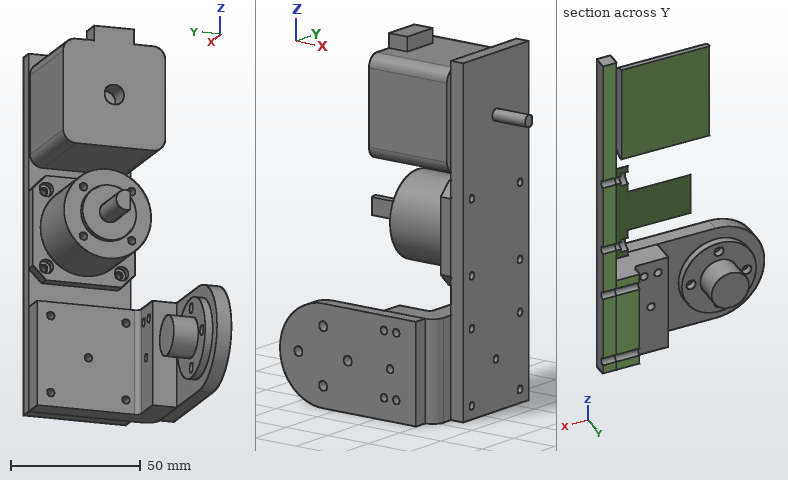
import cadquery as cq


WIDTH = 42.0
PLATE_THICKNESS = 6.0
PLATE_HEIGHT = 144.0
BOLT_SPACING = 31.0
BOLT_DIAMETER = 3.0

MOTOR_Z = 118.9
MOTOR_Y = 0.1
MOTOR_SIDE = 42.0
MOTOR_LENGTH = 38.0
MOTOR_CORNER_RADIUS = 5.1
PILOT_DIAMETER = 22.0
PILOT_HEIGHT = 2.0
MOTOR_SHAFT_DIAMETER = 5.0
MOTOR_SHAFT_STICKOUT = 15.9
MOTOR_SHAFT_FLAT = 2.0
REAR_HOLE_DIAMETER = 8.0
REAR_HOLE_DEPTH = 10.0
CONNECTOR_LENGTH = 9.0
CONNECTOR_WIDTH = 16.3
CONNECTOR_TOP = 145.9

GEARBOX_Z = 73.1
FLANGE_THICKNESS = 5.0
FLANGE_CHAMFER = 5.4
COUNTERBORE_DIAMETER = 5.5
COUNTERBORE_DEPTH = 3.0
BODY_DIAMETER = 35.9
BODY_LENGTH = 27.0
FACE_HOLE_DIAMETER = 3.0
FACE_HOLE_DEPTH = 7.0
FACE_HOLE_CIRCLE = 28.0
OUTPUT_SHAFT_DIAMETER = 8.0
OUTPUT_SHAFT_LENGTH = 19.0
OUTPUT_FLAT_LENGTH = 15.0
OUTPUT_SHAFT_FLAT = 1.8

BRACKET_THICKNESS = 9.9
BRACKET_LEG = 25.0
BRACKET_OUTER_RADIUS = 5.0
BRACKET_INNER_RADIUS = 2.0

HUB_X = -50.0
HUB_HOLE_RADIUS = 12.0
HUB_HOLE_DIAMETER = 4.0
HUB_FLANGE_DIAMETER = 32.0
HUB_FLANGE_THICKNESS = 3.0
HUB_BOSS_DIAMETER = 16.0
HUB_BOSS_LENGTH = 10.0
SCREW_X = -17.5
SCREW_PITCH = 6.0
SCREW_DIAMETER = 3.2
UPPER_SCREW_RISE = 15.0
LOWER_SCREW_DROP = 12.0

HALF_WIDTH = WIDTH / 2
ARM_Z = HALF_WIDTH
BRACKET_OUTER_Y = -HALF_WIDTH - BRACKET_THICKNESS
MOTOR_FRONT_X = -PILOT_HEIGHT
MOTOR_REAR_X = MOTOR_FRONT_X - MOTOR_LENGTH
BODY_FACE_X = -FLANGE_THICKNESS - BODY_LENGTH
ARM_END_X = -BRACKET_OUTER_RADIUS


def box(x_range, y_range, z_range):
    """Box between the given limits along each axis."""
    lows, highs = zip(x_range, y_range, z_range)
    sizes = [high - low for low, high in zip(lows, highs)]
    return cq.Workplane("XY").box(*sizes, centered=False).translate(lows)


def x_rod(diameter, x_start, x_end, z, y=0):
    """Cylinder along X."""
    return cq.Workplane("YZ", origin=(x_start, y, z)).circle(diameter / 2).extrude(x_end - x_start)


def y_rod(diameter, y_start, y_end, x, z):
    """Cylinder along Y."""
    return cq.Workplane("XZ", origin=(x, y_start, z)).circle(diameter / 2).extrude(y_start - y_end)


def square_bolts(diameter, x_start, x_end, z):
    """Four rods along X on the square bolt pattern centred at height z."""
    return (
        cq.Workplane("YZ", origin=(x_start, 0, z))
        .rect(BOLT_SPACING, BOLT_SPACING, forConstruction=True)
        .vertices()
        .circle(diameter / 2)
        .extrude(x_end - x_start)
    )


def bracket_bolts():
    """Bolt holes through the bracket's back leg and the plate: the square pattern and its centre."""
    corners = square_bolts(BOLT_DIAMETER, -BRACKET_THICKNESS, PLATE_THICKNESS, ARM_Z)
    return corners.union(x_rod(BOLT_DIAMETER, -BRACKET_THICKNESS, PLATE_THICKNESS, ARM_Z))


def arm_screws(include_lower):
    """Screw holes along Y that join the arm to the bracket's side leg."""
    places = [(SCREW_X, ARM_Z)]
    for side in (-1, 1):
        x = SCREW_X + side * SCREW_PITCH / 2
        places.append((x, ARM_Z + UPPER_SCREW_RISE))
        if include_lower:
            places.append((x, ARM_Z - LOWER_SCREW_DROP))
    return (
        cq.Workplane("XZ", origin=(0, -HALF_WIDTH, 0))
        .pushPoints(places)
        .circle(SCREW_DIAMETER / 2)
        .extrude(BRACKET_THICKNESS + PLATE_THICKNESS)
    )


def hub_bolts():
    """Four rods along Y through the arm and the hub flange."""
    return (
        cq.Workplane("XZ", origin=(HUB_X, BRACKET_OUTER_Y + HUB_FLANGE_THICKNESS, ARM_Z))
        .polarArray(HUB_HOLE_RADIUS, 0, 360, 4)
        .circle(HUB_HOLE_DIAMETER / 2)
        .extrude(HUB_FLANGE_THICKNESS + PLATE_THICKNESS)
    )


def make_mounting_plate():
    plate = box((0, PLATE_THICKNESS), (-HALF_WIDTH, HALF_WIDTH), (0, PLATE_HEIGHT))
    plate = plate.cut(x_rod(MOTOR_SHAFT_DIAMETER, 0, PLATE_THICKNESS, MOTOR_Z, MOTOR_Y))
    plate = plate.cut(square_bolts(BOLT_DIAMETER, 0, PLATE_THICKNESS, GEARBOX_Z))
    return plate.cut(bracket_bolts())


def make_motor():
    housing = (
        cq.Workplane("YZ", origin=(MOTOR_REAR_X, MOTOR_Y, MOTOR_Z))
        .rect(MOTOR_SIDE, MOTOR_SIDE)
        .extrude(MOTOR_LENGTH)
        .edges("|X")
        .fillet(MOTOR_CORNER_RADIUS)
    )
    connector = box(
        (MOTOR_REAR_X, MOTOR_REAR_X + CONNECTOR_LENGTH),
        (MOTOR_Y - CONNECTOR_WIDTH / 2, MOTOR_Y + CONNECTOR_WIDTH / 2),
        (MOTOR_Z, CONNECTOR_TOP),
    )
    pilot = x_rod(PILOT_DIAMETER, MOTOR_FRONT_X, 0, MOTOR_Z, MOTOR_Y)
    shaft_end_x = PLATE_THICKNESS + MOTOR_SHAFT_STICKOUT
    shaft = x_rod(MOTOR_SHAFT_DIAMETER, MOTOR_FRONT_X, shaft_end_x, MOTOR_Z, MOTOR_Y)
    shaft_radius = MOTOR_SHAFT_DIAMETER / 2
    flat = box(
        (PLATE_THICKNESS, shaft_end_x),
        (MOTOR_Y + MOTOR_SHAFT_FLAT, MOTOR_Y + shaft_radius),
        (MOTOR_Z - shaft_radius, MOTOR_Z + shaft_radius),
    )
    rear_hole_end_x = MOTOR_REAR_X + REAR_HOLE_DEPTH
    rear_hole = x_rod(REAR_HOLE_DIAMETER, MOTOR_REAR_X, rear_hole_end_x, MOTOR_Z, MOTOR_Y)
    return housing.union(connector).cut(rear_hole).union(pilot).union(shaft.cut(flat))


def make_gearbox():
    flange = (
        cq.Workplane("YZ", origin=(-FLANGE_THICKNESS, 0, GEARBOX_Z))
        .rect(WIDTH, WIDTH)
        .extrude(FLANGE_THICKNESS)
        .edges("|X")
        .chamfer(FLANGE_CHAMFER)
    )
    counterbore_floor_x = COUNTERBORE_DEPTH - FLANGE_THICKNESS
    flange = flange.cut(square_bolts(BOLT_DIAMETER, -FLANGE_THICKNESS, 0, GEARBOX_Z))
    flange = flange.cut(
        square_bolts(COUNTERBORE_DIAMETER, -FLANGE_THICKNESS, counterbore_floor_x, GEARBOX_Z)
    )
    body = x_rod(BODY_DIAMETER, BODY_FACE_X, -FLANGE_THICKNESS, GEARBOX_Z)
    face_holes = (
        cq.Workplane("YZ", origin=(BODY_FACE_X, 0, GEARBOX_Z))
        .polarArray(FACE_HOLE_CIRCLE / 2, 45, 360, 4)
        .circle(FACE_HOLE_DIAMETER / 2)
        .extrude(FACE_HOLE_DEPTH)
    )
    pilot_face_x = BODY_FACE_X - PILOT_HEIGHT
    pilot = x_rod(PILOT_DIAMETER, pilot_face_x, BODY_FACE_X, GEARBOX_Z)
    shaft_tip_x = pilot_face_x - OUTPUT_SHAFT_LENGTH
    shaft_radius = OUTPUT_SHAFT_DIAMETER / 2
    shaft = x_rod(OUTPUT_SHAFT_DIAMETER, shaft_tip_x, pilot_face_x, GEARBOX_Z)
    flat = box(
        (shaft_tip_x, shaft_tip_x + OUTPUT_FLAT_LENGTH),
        (-shaft_radius, -OUTPUT_SHAFT_FLAT),
        (GEARBOX_Z - shaft_radius, GEARBOX_Z + shaft_radius),
    )
    return flange.union(body.cut(face_holes)).union(pilot).union(shaft.cut(flat))


def make_bracket():
    bracket = (
        cq.Workplane("XY")
        .moveTo(0, HALF_WIDTH)
        .lineTo(0, BRACKET_OUTER_Y)
        .lineTo(-BRACKET_LEG, BRACKET_OUTER_Y)
        .lineTo(-BRACKET_LEG, -HALF_WIDTH)
        .lineTo(-BRACKET_THICKNESS, -HALF_WIDTH)
        .lineTo(-BRACKET_THICKNESS, HALF_WIDTH)
        .close()
        .extrude(WIDTH)
    )
    outer_corner = cq.selectors.NearestToPointSelector((0, BRACKET_OUTER_Y, HALF_WIDTH))
    inner_corner = cq.selectors.NearestToPointSelector((-BRACKET_THICKNESS, -HALF_WIDTH, HALF_WIDTH))
    bracket = bracket.edges(outer_corner).fillet(BRACKET_OUTER_RADIUS)
    bracket = bracket.edges(inner_corner).fillet(BRACKET_INNER_RADIUS)
    return bracket.cut(bracket_bolts()).cut(arm_screws(include_lower=False))


def make_arm():
    arm = (
        cq.Workplane("XZ", origin=(0, BRACKET_OUTER_Y, 0))
        .moveTo(ARM_END_X, 0)
        .lineTo(ARM_END_X, WIDTH)
        .lineTo(HUB_X, WIDTH)
        .threePointArc((HUB_X - HALF_WIDTH, ARM_Z), (HUB_X, 0))
        .close()
        .extrude(PLATE_THICKNESS)
    )
    return arm.cut(arm_screws(include_lower=True)).cut(hub_bolts())


def make_hub():
    flange_y = BRACKET_OUTER_Y + HUB_FLANGE_THICKNESS
    flange = y_rod(HUB_FLANGE_DIAMETER, BRACKET_OUTER_Y, flange_y, HUB_X, ARM_Z)
    boss = y_rod(HUB_BOSS_DIAMETER, flange_y, flange_y + HUB_BOSS_LENGTH, HUB_X, ARM_Z)
    return flange.union(boss).cut(hub_bolts())


mounting_plate = make_mounting_plate()
motor = make_motor()
gearbox = make_gearbox()
bracket = make_bracket()
arm = make_arm()
hub = make_hub()

result = cq.Compound.makeCompound(
    [body.val() for body in (mounting_plate, motor, gearbox, bracket, arm, hub)]
)